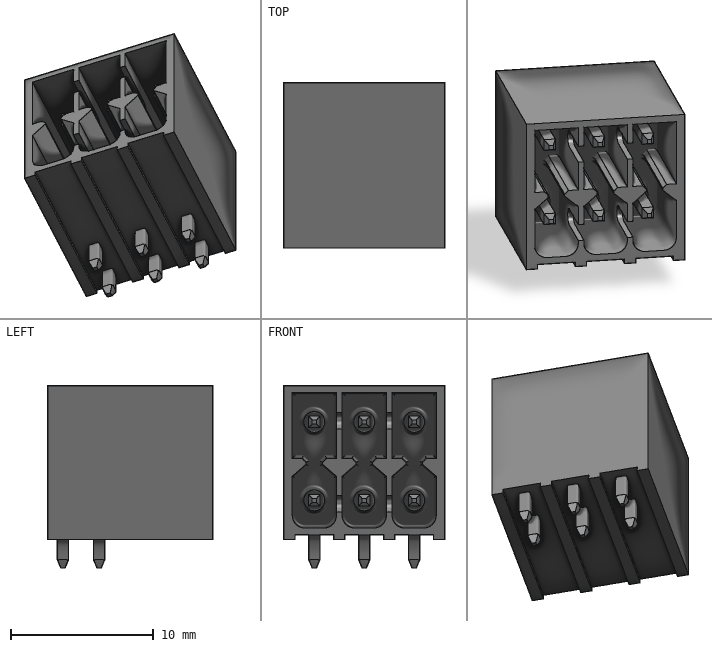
import cadquery as cq
import math


arc_inset = 1 - math.sqrt(0.5)

columns = 3
pitch = 3.5
column_centers = [(i - (columns - 1) / 2) * pitch for i in range(columns)]
lower_row_z = 2.75
row_spacing = 5.5
upper_row_z = lower_row_z + row_spacing

end_margin = 2.15
housing_width = (columns - 1) * pitch + 2 * end_margin
housing_depth = 11.6
housing_height = 10.8
foot_height = 0.33
foot_gap = 2.7

pocket_half_width = 1.55
pocket_depth = 7.2
pocket_bottom_z = 0.81
pocket_top_z = 10.3
pocket_corner_radius = 0.9
pocket_floor_fillet = 0.22
rib_shelf_z = 5.69
rib_bevel_x = 0.85
rib_tip_x = 0.58
rib_bevel_z = rib_shelf_z - (rib_bevel_x - rib_tip_x)
rib_tip_height = 0.15
rib_root_z = 4.43

slot_height = 1.18
slot_depth = 4.0
slot_centers_z = [2.52, 8.33]

boss_base_radius = 0.77
boss_top_radius = 0.73
boss_base_fillet = 0.31
boss_height = 0.8

pin_size = 0.8
pin_edge_radius = 0.15
tip_length = 0.6
tip_size = 0.3
contact_tip_y = 2.0
tail_length = 2.0
rear_leg_inset = 1.08
rear_leg_y = housing_depth - rear_leg_inset
leg_spacing = 2.54
front_leg_y = rear_leg_y - leg_spacing


def make_pocket(center_x):
    """Cutter for one pocket: keyed outline, rounded below, filleted at its floor."""
    right = pocket_half_width
    left = -pocket_half_width
    radius = pocket_corner_radius
    arc_z = pocket_bottom_z + radius * arc_inset
    arc_x = pocket_half_width - radius * arc_inset
    outline = (
        cq.Workplane("XZ")
        .moveTo(left, pocket_top_z)
        .lineTo(right, pocket_top_z)
        .lineTo(right, rib_shelf_z)
        .lineTo(rib_bevel_x, rib_shelf_z)
        .lineTo(rib_tip_x, rib_bevel_z)
        .lineTo(rib_tip_x, rib_bevel_z - rib_tip_height)
        .lineTo(right, rib_root_z)
        .lineTo(right, pocket_bottom_z + radius)
        .threePointArc((arc_x, arc_z), (right - radius, pocket_bottom_z))
        .lineTo(left + radius, pocket_bottom_z)
        .threePointArc((-arc_x, arc_z), (left, pocket_bottom_z + radius))
        .lineTo(left, rib_root_z)
        .lineTo(-rib_tip_x, rib_bevel_z - rib_tip_height)
        .lineTo(-rib_tip_x, rib_bevel_z)
        .lineTo(-rib_bevel_x, rib_shelf_z)
        .lineTo(left, rib_shelf_z)
        .close()
    )
    pocket = outline.extrude(-pocket_depth).faces(">Y").edges().fillet(pocket_floor_fillet)
    return pocket.translate((center_x, 0, 0))


def make_boss(center_x, center_z):
    """Tapered boss that flares out into the pocket floor."""
    flare_radius = boss_base_radius + boss_base_fillet
    flare_mid = boss_base_fillet * arc_inset
    boss = (
        cq.Workplane("XY")
        .moveTo(0, pocket_depth - boss_height)
        .lineTo(boss_top_radius, pocket_depth - boss_height)
        .lineTo(boss_base_radius, pocket_depth - boss_base_fillet)
        .threePointArc(
            (boss_base_radius + flare_mid, pocket_depth - flare_mid),
            (flare_radius, pocket_depth),
        )
        .lineTo(0, pocket_depth)
        .close()
        .revolve(360, (0, 0), (0, 1))
    )
    return boss.translate((center_x, 0, center_z))


def make_partition_slot(center_x, center_z):
    """Slot cutter open to the mating face, spanning one partition, with a round inner end."""
    length = pitch - 2 * pocket_half_width
    radius = slot_height / 2
    straight = slot_depth - radius
    slot = (
        cq.Workplane("YZ")
        .moveTo(0, -radius)
        .lineTo(straight, -radius)
        .threePointArc((slot_depth, 0), (straight, radius))
        .lineTo(0, radius)
        .close()
        .extrude(length / 2, both=True)
    )
    return slot.translate((center_x, 0, center_z))


def make_pin(center_x, row_z, leg_y):
    """Right-angle square pin: pointed contact along Y, rounded-edge pointed tail along -Z."""
    contact_end = leg_y + pin_size / 2
    shank_start = contact_tip_y + tip_length
    contact = (
        cq.Workplane("XZ", origin=(0, shank_start, row_z))
        .rect(pin_size, pin_size)
        .extrude(shank_start - contact_end)
    )
    contact_tip = (
        cq.Workplane("XZ", origin=(0, shank_start, row_z))
        .rect(pin_size, pin_size)
        .workplane(offset=tip_length)
        .rect(tip_size, tip_size)
        .loft()
    )
    leg = (
        cq.Workplane("XY", origin=(0, leg_y, -tail_length))
        .rect(pin_size, pin_size)
        .extrude(row_z + tail_length)
        .edges("|Z")
        .fillet(pin_edge_radius)
    )
    shoulder_z = tip_length - tail_length
    tail_envelope = (
        cq.Workplane("XY", origin=(0, leg_y, shoulder_z))
        .rect(pin_size, pin_size)
        .workplane(offset=-tip_length)
        .rect(tip_size, tip_size)
        .loft()
    )
    shank_envelope = (
        cq.Workplane("XY", origin=(0, leg_y, shoulder_z))
        .rect(pin_size, pin_size)
        .extrude(row_z - shoulder_z)
    )
    leg = leg.intersect(tail_envelope.union(shank_envelope))
    pin = contact.union(contact_tip).union(leg)
    return pin.translate((center_x, 0, 0))


pins = []
for column_x in column_centers:
    pins.append(make_pin(column_x, lower_row_z, front_leg_y))
    pins.append(make_pin(column_x, upper_row_z, rear_leg_y))

housing = cq.Workplane("XY").box(
    housing_width, housing_depth, housing_height, centered=(True, False, False)
)
for column_x in column_centers:
    foot_channel = cq.Workplane("XY").box(
        foot_gap, housing_depth, foot_height, centered=(True, False, False)
    )
    housing = housing.cut(foot_channel.translate((column_x, 0, 0)))

for column_x in column_centers:
    housing = housing.cut(make_pocket(column_x))
    for row_z in (lower_row_z, upper_row_z):
        housing = housing.union(make_boss(column_x, row_z))

for column_x in column_centers[:-1]:
    for slot_z in slot_centers_z:
        housing = housing.cut(make_partition_slot(column_x + pitch / 2, slot_z))

for pin in pins:
    housing = housing.cut(pin)

result = cq.Compound.makeCompound([housing.val(), *[pin.val() for pin in pins]])